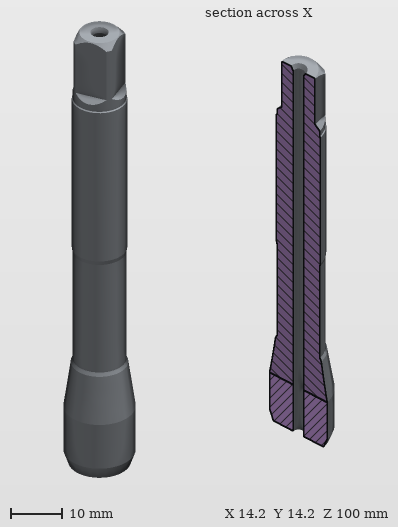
import cadquery as cq
import math

total_length = 100.0

head_diameter = 14.2
lead_diameter = 12.4
lead_top = 2.7
head_top = 12.9

cone_top_diameter = 11.3
cone_top = 23.2
neck_bottom = 24.0
neck_diameter = 10.6
neck_top = 49.1
shank_bottom = 50.0
shank_diameter = 10.9
shank_top = 84.8
drive_diameter = 10.5
shank_chamfer = (shank_diameter - drive_diameter) / 2

flat_count = 4
square_width = 8.2
flat_bottom = 87.4
flat_depth = (drive_diameter - square_width) / 2
end_chamfer = 1.3

bore_diameter = 2.5
mouth_diameter = 3.6
mouth_angle = 60.0
mouth_depth = (mouth_diameter - bore_diameter) / 2 / math.tan(math.radians(mouth_angle / 2))


def revolve_profile(outline):
    """Revolve (diameter, height) points, closed along the Z axis."""
    bottom = outline[0][1]
    top = outline[-1][1]
    points = [(0, bottom)] + [(diameter / 2, z) for diameter, z in outline] + [(0, top)]
    return cq.Workplane("XZ").polyline(points).close().revolve(360, (0, 0), (0, 1))


def cut_bore(body):
    bore = cq.Workplane("XY").circle(bore_diameter / 2).extrude(total_length)
    return body.cut(bore)


def make_head():
    head = revolve_profile([
        (lead_diameter, 0),
        (head_diameter, lead_top),
        (head_diameter, head_top),
    ])
    return cut_bore(head)


def flat_cutter():
    """Material beside one flat, ending in a 45 degree ramp at its foot."""
    inner = square_width / 2
    outer = inner + 2 * flat_depth
    ramp_end = flat_bottom - (outer - inner)
    return (
        cq.Workplane("XZ")
        .moveTo(inner, total_length)
        .lineTo(inner, flat_bottom)
        .lineTo(outer, ramp_end)
        .lineTo(outer, total_length)
        .close()
        .extrude(drive_diameter / 2, both=True)
    )


def make_mouth():
    """Conical countersink at the top of the bore."""
    return revolve_profile([
        (bore_diameter, total_length - mouth_depth),
        (mouth_diameter, total_length),
    ])


def make_shaft():
    shaft = revolve_profile([
        (head_diameter, head_top),
        (cone_top_diameter, cone_top),
        (neck_diameter, neck_bottom),
        (neck_diameter, neck_top),
        (shank_diameter, shank_bottom),
        (shank_diameter, shank_top - shank_chamfer),
        (drive_diameter, shank_top),
        (drive_diameter, total_length - end_chamfer),
        (drive_diameter - 2 * end_chamfer, total_length),
    ])
    for side in range(flat_count):
        shaft = shaft.cut(flat_cutter().rotate((0, 0, 0), (0, 0, 1), side * 360 / flat_count))
    return cut_bore(shaft).cut(make_mouth())


head = make_head()
shaft = make_shaft()
result = cq.Compound.makeCompound([head.val(), shaft.val()])